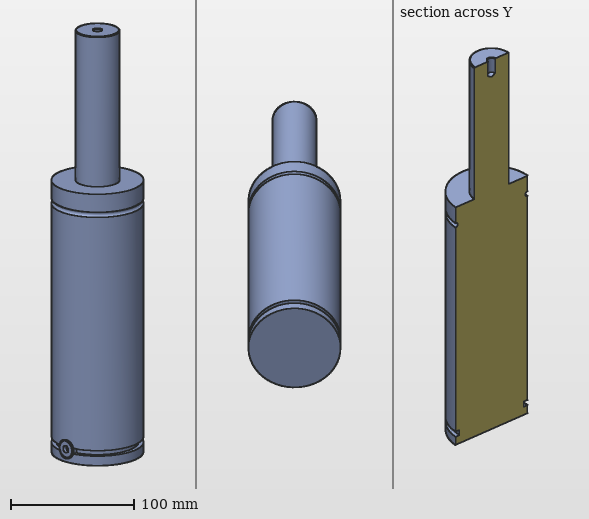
import cadquery as cq
import math

total_height = 360.0
body_diameter = 75.0
body_height = 232.0
rod_diameter = 36.0
rod_edge_chamfer = 0.7

head_height = 15.5
groove_radius = 2.0

base_height = 8.3
base_groove_width = 4.5
base_groove_depth = 4.0

plug_z = 10.8
plug_diameter = 16.0
plug_face_diameter = 14.0
plug_ring_depth = 1.0
plug_hole_diameter = 5.8
plug_hole_depth = 3.5

rod_hole_diameter = 7.0
rod_hole_mouth_diameter = 8.0
rod_hole_depth = 14.5
drill_point_angle = 118.0

body_radius = body_diameter / 2


def make_body():
    return cq.Workplane("XY").circle(body_radius).extrude(body_height)


def make_rod():
    """Rod from the base of the body to the free end, with a broken end edge."""
    rod = cq.Workplane("XY").circle(rod_diameter / 2).extrude(total_height)
    return rod.faces(">Z").chamfer(rod_edge_chamfer)


def make_head_groove():
    """Ring cutter with a circular section centred on the body surface."""
    groove_z = body_height - head_height - groove_radius
    section = cq.Workplane("XZ").center(body_radius, groove_z).circle(groove_radius)
    return section.revolve(360, (-body_radius, 0), (-body_radius, 1))


def make_base_groove():
    ring = cq.Workplane("XY").workplane(offset=base_height)
    ring = ring.circle(body_radius).circle(body_radius - base_groove_depth)
    return ring.extrude(base_groove_width)


def make_plug():
    """Plug reaching from the body axis to the outermost -Y point."""
    axis = cq.Workplane("XZ").center(0, plug_z)
    return axis.circle(plug_diameter / 2).extrude(body_radius)


def make_plug_face_cutters():
    """Shallow ring around the plug face and the blind hole at its centre."""
    face = cq.Workplane("XZ", origin=(0, -body_radius, plug_z))
    ring = face.circle(plug_diameter / 2).circle(plug_face_diameter / 2).extrude(-plug_ring_depth)
    hole = face.circle(plug_hole_diameter / 2).extrude(-plug_hole_depth)
    return ring.union(hole)


def make_rod_hole():
    """Cutter for the countersunk hole with a conical drill point."""
    hole_radius = rod_hole_diameter / 2
    mouth_radius = rod_hole_mouth_diameter / 2
    hole_bottom = total_height - rod_hole_depth
    point_length = hole_radius / math.tan(math.radians(drill_point_angle / 2))
    profile = (
        cq.Workplane("XZ")
        .moveTo(0, total_height)
        .lineTo(mouth_radius, total_height)
        .lineTo(hole_radius, total_height - (mouth_radius - hole_radius))
        .lineTo(hole_radius, hole_bottom)
        .lineTo(0, hole_bottom - point_length)
        .close()
    )
    return profile.revolve(360, (0, 0), (0, 1))


grooved_body = make_body().cut(make_head_groove()).cut(make_base_groove())
cylinder = grooved_body.union(make_rod()).union(make_plug())
result = cylinder.cut(make_plug_face_cutters()).cut(make_rod_hole())